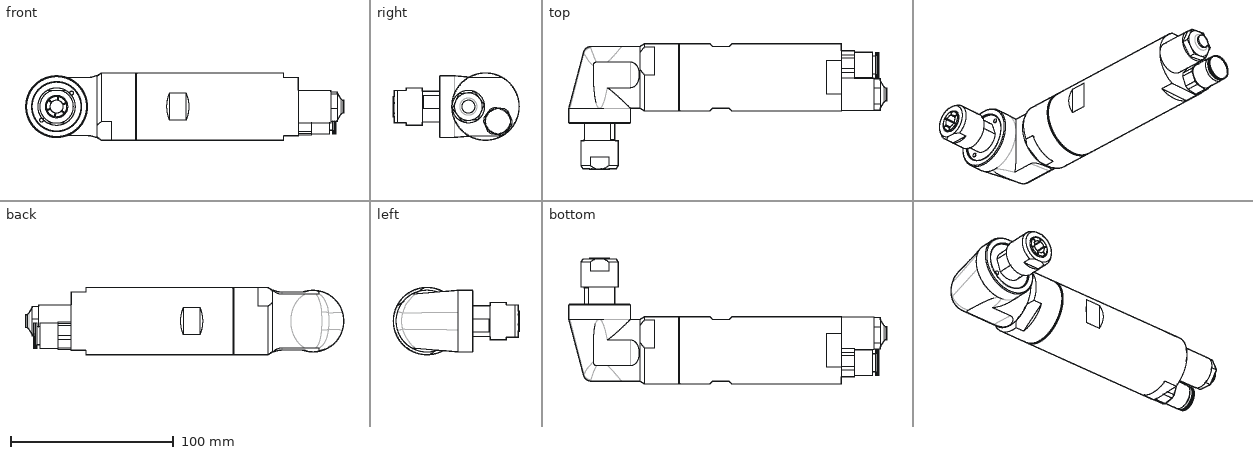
import cadquery as cq
import math


part_length = 195.5
part_width = 77.42

body_d = 41.5
body_r = body_d / 2
neck_r = 19.0
neck_start_x = 1.0
neck_end_x = 24.8
collar_start_x = 27.6
seam_x = 48.5
seam_width = 0.7
seam_depth = 0.5
body_end_x = 148.5

end_flat_x = 139.5
end_flat_height = 18.0
grip_flat_center_x = 74.5
grip_flat_length = 10.2
grip_flat_offset = 19.0
collar_flat_end_x = 33.6
collar_flat_offset = 18.0
collar_flat_angle = 56.0

flange_r = 19.0
flange_top_y = -19.0
flange_bottom_y = -28.4
flange_chamfer = 0.6
head_height = 40.0
nose_taper = 14.8
side_taper = 2.4
nose_panel_half_angle = 16.5
nose_curve_steps = 4
head_top_shift = 0.6
head_fillet = 4.5
edge_gap = 0.05
cheek_draft = 5.0
cheek_end_x = 18.9
cheek_runout_r = 9.5
recess_r = 15.0
recess_depth = 1.0
recess_y = flange_bottom_y + recess_depth
recess_chamfer = 0.4
pin_hole_d = 2.4
pin_hole_depth = 2.0
pin_hole_radius = 12.4
pin_hole_angle = 42.0

spindle_d = 19.0
spindle_flat_offset = 8.5
spindle_flat_angle = 18.6
spindle_flat_end_y = -38.2
nut_d = 23.0
nut_top_y = -38.8
nut_bottom_y = -56.2
nut_flat_top_y = -48.8
nut_flat_offset = 10.0
nut_chamfer_length = 2.0
nut_chamfer_width = 1.25
collet_d = 12.5
nut_bore_d = 13.8
nut_bore_depth = 1.0
collet_bottom_y = body_r - part_width
collet_bore_d = 8.0
collet_bore_depth = 10.0
collet_slots = 6
collet_slot_width = 0.6
collet_slot_depth = 5.0
collet_slot_angle = 20.0

inlet_y = -10.5
inlet_z = 0.0
inlet_d = 20.0
inlet_length = 20.0
inlet_hex_across_flats = 17.0
inlet_hex_length = 4.0
inlet_hex_angle = 66.7
inlet_cone_d = 17.0
inlet_cone_length = 1.9
inlet_tip_d = 10.5
part_end_x = part_length - flange_r
inlet_tip_shoulder_x = part_end_x - 1.0
inlet_tip_end_d = 8.0

coupling_y = 7.6
coupling_z = -9.0
coupling_hex_across_flats = 16.3
coupling_hex_across_corners = 17.4
coupling_hex_length = 8.2
coupling_hex_angle = 52.8
coupling_d = 15.75
coupling_groove_d = 11.2
coupling_disc_d = 15.5
coupling_groove_x = 167.8
coupling_disc_x = 169.6
coupling_disc_thickness = 0.7
coupling_collar_d = 14.6
coupling_end_x = 171.6

big = 100.0


def rod_x(radius, start_x, end_x, y=0.0, z=0.0):
    """Cylinder along X."""
    return cq.Workplane("YZ", origin=(start_x, y, z)).circle(radius).extrude(end_x - start_x)


def rod_y(radius, top_y, bottom_y, x=0.0, z=0.0):
    """Cylinder along Y, from its top down to its bottom."""
    return cq.Workplane("XZ", origin=(x, top_y, z)).circle(radius).extrude(top_y - bottom_y)


def hex_x(across_flats, angle, start_x, length, y, z):
    """Hexagonal prism along X, with a corner at the given angle from +Y."""
    corner_d = across_flats / math.cos(math.pi / 6)
    prism = cq.Workplane("YZ").polygon(6, corner_d).extrude(length)
    return prism.rotate((0, 0, 0), (1, 0, 0), angle).translate((start_x, y, z))


def slab(x_range, y_range, z_range):
    """Box given by its limits along each axis."""
    size = [high - low for low, high in (x_range, y_range, z_range)]
    corner = (x_range[0], y_range[0], z_range[0])
    return cq.Workplane("XY").box(*size, centered=False).translate(corner)


def make_handle():
    """Round body with collar, seam groove and flats."""
    profile = [
        (neck_start_x, 0),
        (neck_start_x, neck_r),
        (neck_end_x, neck_r),
        (collar_start_x, body_r),
        (seam_x, body_r),
        (seam_x, body_r - seam_depth),
        (seam_x + seam_width, body_r - seam_depth),
        (seam_x + seam_width, body_r),
        (body_end_x, body_r),
        (body_end_x, 0),
    ]
    handle = cq.Workplane("XY").polyline(profile).close().revolve(360, (0, 0, 0), (1, 0, 0))

    end_flat = slab((end_flat_x, body_end_x), (-big, big), (end_flat_height, big))
    handle = handle.cut(end_flat).cut(end_flat.mirror("XY"))

    depth = body_r - grip_flat_offset
    half = grip_flat_length / 2
    grip = (
        cq.Workplane("XY")
        .polyline([
            (grip_flat_center_x - half, grip_flat_offset),
            (grip_flat_center_x + half, grip_flat_offset),
            (grip_flat_center_x + half + depth, body_r),
            (grip_flat_center_x - half - depth, body_r),
        ])
        .close()
        .extrude(body_r, both=True)
    )
    handle = handle.cut(grip).cut(grip.mirror("XZ"))

    for angle in (collar_flat_angle, collar_flat_angle + 180):
        flat = slab((neck_end_x, collar_flat_end_x), (collar_flat_offset, big), (-big, big))
        handle = handle.cut(flat.rotate((0, 0, 0), (1, 0, 0), angle))
    return handle


def nose_curve(outline, center_x, nose, side, start, end):
    """Add the stretch of the nose half ellipse between two angles measured from +Z."""
    points = []
    directions = []
    for step in range(nose_curve_steps + 1):
        angle = math.radians(start + (end - start) * step / nose_curve_steps)
        points.append((center_x - nose * math.sin(angle), side * math.cos(angle)))
        directions.append((-nose * math.cos(angle), -side * math.sin(angle)))
    return outline.spline(points[1:], tangents=[directions[0], directions[-1]], includeCurrent=True)


def head_section(plane, center_x, nose, side):
    """Closed outline: half circle towards +X, half ellipse in three stretches towards -X."""
    outline = plane.moveTo(center_x, -side).threePointArc((center_x + side, 0), (center_x, side))
    panel_start = 90 - nose_panel_half_angle
    panel_end = 90 + nose_panel_half_angle
    for start, end in ((0, panel_start), (panel_start, panel_end), (panel_end, 180)):
        outline = nose_curve(outline, center_x, nose, side, start, end)
    return outline.close()


def make_head():
    """Tapered angle head, rounded at the back to match the neck."""
    nose_top = flange_r + head_top_shift - head_height * math.tan(math.radians(nose_taper))
    side_top = flange_r - head_height * math.tan(math.radians(side_taper))
    outline = head_section(cq.Workplane("XZ", origin=(0, flange_top_y, 0)), 0, flange_r, flange_r)
    outline = head_section(outline.workplane(offset=-head_height), head_top_shift, nose_top, side_top)
    head = outline.loft(ruled=True)
    rounding = rod_x(neck_r, -big, big).union(slab((-big, big), (-big, 0), (-big, big)))
    head = head.intersect(rounding)

    back_box = cq.selectors.BoxSelector((-flange_r, 0, -neck_r), (-edge_gap, neck_r - edge_gap, neck_r))
    return head.edges(back_box).fillet(head_fillet)


def cut_cheeks(solid):
    """Drafted flat on both cheeks, running out in a concave arc."""
    end_x = cheek_end_x + cheek_runout_r
    cheek = (
        cq.Workplane("XZ")
        .moveTo(-big, 0)
        .lineTo(cheek_end_x, 0)
        .radiusArc((end_x, cheek_runout_r), -cheek_runout_r)
        .lineTo(-big, cheek_runout_r)
        .close()
        .extrude(-2 * neck_r)
        .rotate((0, 0, 0), (1, 0, 0), -cheek_draft)
        .translate((0, flange_top_y, flange_r))
    )
    return solid.cut(cheek).cut(cheek.mirror("XY"))


def make_flange():
    """Flange with a recess and two pin holes in its face."""
    flange = rod_y(flange_r, flange_top_y, flange_bottom_y).faces("<Y").chamfer(flange_chamfer)
    flange = flange.cut(rod_y(recess_r, recess_y, flange_bottom_y))
    rim = cq.selectors.RadiusNthSelector(0)
    flange = flange.faces("<Y").edges(rim).chamfer(recess_chamfer)
    for angle in (pin_hole_angle, pin_hole_angle + 180):
        x = pin_hole_radius * math.cos(math.radians(angle))
        z = pin_hole_radius * math.sin(math.radians(angle))
        flange = flange.cut(rod_y(pin_hole_d / 2, recess_y + pin_hole_depth, recess_y, x, z))
    return flange


def make_spindle():
    """Spindle shaft with two wrench flats."""
    spindle = rod_y(spindle_d / 2, flange_top_y, nut_top_y)
    for angle in (spindle_flat_angle, spindle_flat_angle + 180):
        flat = slab((spindle_flat_offset, big), (spindle_flat_end_y, recess_y), (-big, big))
        spindle = spindle.cut(flat.rotate((0, 0, 0), (0, -1, 0), angle))
    return spindle


def make_nut():
    """Collet nut with wrench flats and a slotted collet."""
    nut = rod_y(nut_d / 2, nut_top_y, nut_bottom_y)
    nut = nut.faces("<Y").chamfer(nut_chamfer_length, nut_chamfer_width)
    flat = slab((-big, big), (-big, nut_flat_top_y), (nut_flat_offset, big))
    nut = nut.cut(flat).cut(flat.mirror("XY"))
    nut_bore_y = nut_bottom_y + nut_bore_depth
    nut = nut.cut(rod_y(nut_bore_d / 2, nut_bore_y, nut_bottom_y))
    nut = nut.union(rod_y(collet_d / 2, nut_bore_y, collet_bottom_y))
    nut = nut.cut(rod_y(collet_bore_d / 2, collet_bottom_y + collet_bore_depth, collet_bottom_y))
    for i in range(collet_slots):
        slot = slab(
            (0, collet_d / 2),
            (collet_bottom_y, collet_bottom_y + collet_slot_depth),
            (-collet_slot_width / 2, collet_slot_width / 2),
        )
        nut = nut.cut(slot.rotate((0, 0, 0), (0, -1, 0), collet_slot_angle + 360 / collet_slots * i))
    return nut


def make_inlet():
    """Round air inlet with a hexagon and a stepped tip."""
    hex_start = body_end_x + inlet_length
    hex_end = hex_start + inlet_hex_length
    inlet = rod_x(inlet_d / 2, body_end_x, hex_start, inlet_y, inlet_z)
    inlet = inlet.union(
        hex_x(inlet_hex_across_flats, inlet_hex_angle, hex_start, inlet_hex_length, inlet_y, inlet_z)
    )
    tip = (
        cq.Workplane("XY")
        .polyline([
            (hex_end, 0),
            (hex_end, inlet_cone_d / 2),
            (hex_end + inlet_cone_length, inlet_tip_d / 2),
            (inlet_tip_shoulder_x, inlet_tip_end_d / 2),
            (part_end_x, inlet_tip_end_d / 2),
            (part_end_x, 0),
        ])
        .close()
        .revolve(360, (0, 0, 0), (1, 0, 0))
        .translate((0, inlet_y, inlet_z))
    )
    return inlet.union(tip)


def make_coupling():
    """Hose coupling with a trimmed hexagon, a groove and two discs."""
    hex_end = body_end_x + coupling_hex_length
    place = (coupling_y, coupling_z)
    coupling = hex_x(
        coupling_hex_across_flats, coupling_hex_angle, body_end_x, coupling_hex_length, *place
    )
    trim_angle = coupling_hex_angle + 30
    coupling = coupling.intersect(
        hex_x(coupling_hex_across_corners, trim_angle, body_end_x, coupling_hex_length, *place)
    )
    coupling = coupling.union(rod_x(coupling_d / 2, hex_end, coupling_groove_x, *place))
    coupling = coupling.union(rod_x(coupling_groove_d / 2, coupling_groove_x, coupling_disc_x, *place))
    coupling = coupling.union(rod_x(coupling_collar_d / 2, coupling_disc_x, coupling_end_x, *place))
    for start_x in (coupling_disc_x, coupling_end_x - coupling_disc_thickness):
        disc = rod_x(coupling_disc_d / 2, start_x, start_x + coupling_disc_thickness, *place)
        coupling = coupling.union(disc)
    return coupling


result = cut_cheeks(make_head().union(make_handle()))
for piece in (make_flange(), make_spindle(), make_nut(), make_inlet(), make_coupling()):
    result = result.union(piece)